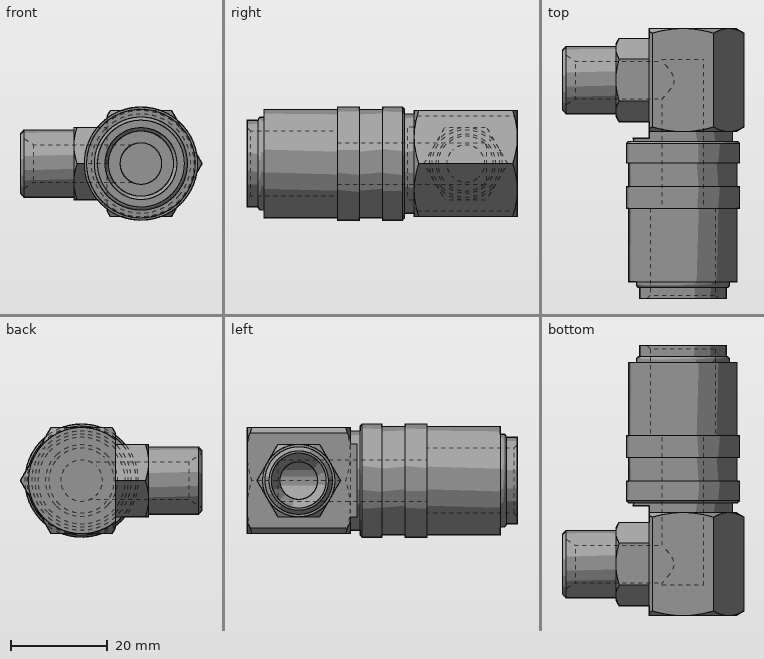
import math

import cadquery as cq


BODY_ACROSS_FLATS = 22.0
BODY_HALF_LENGTH = 10.7
BODY_CUT_X = -7.0
HEX_CHAMFER_ANGLE = 30.0

NECK_RADIUS = 10.3
NECK_FLAT_END_Y = -12.05
NECK_END_Y = -12.7

SLEEVE_RADIUS = 11.25
SLEEVE_END_Y = -41.8
COLLAR_RADIUS = 11.75
COLLAR_CHAMFER = 0.45
REAR_COLLAR_END_Y = -17.2
FRONT_COLLAR_START_Y = -22.05
FRONT_COLLAR_END_Y = -26.6

NOSE_RADIUS = 9.0
NOSE_END_Y = -45.3
SHOULDER_RADIUS = 9.65
SHOULDER_END_Y = -43.0

SOCKET_RADIUS = 6.75
SOCKET_MOUTH_CHAMFER = 0.7
SOCKET_FLOOR_Y = -26.6
ELBOW_BORE_RADIUS = 4.3

SPIGOT_RADIUS = 7.0
SPIGOT_END_X = -25.0
SPIGOT_TIP_CHAMFER_LENGTH = 0.8
SPIGOT_TIP_RADIUS = 6.15
SPIGOT_HEX_ACROSS_FLATS = 15.0
SPIGOT_HEX_START_X = -13.9
SPIGOT_BORE_RADIUS = 3.9
SPIGOT_MOUTH_RADIUS = 5.7
SPIGOT_MOUTH_DEPTH = 2.7


def cylinder_y(radius, start_y, end_y):
    """Cylinder on the Y axis from start_y down to end_y."""
    return cq.Workplane("XZ", origin=(0, start_y, 0)).circle(radius).extrude(start_y - end_y)


def cylinder_x(radius, start_x, end_x):
    """Cylinder on the X axis from start_x up to end_x."""
    return cq.Workplane("YZ", origin=(start_x, 0, 0)).circle(radius).extrude(end_x - start_x)


def cone(start_radius, end_radius, length, start, direction):
    """Truncated cone from a start point along a direction."""
    return cq.Workplane(cq.Solid.makeCone(start_radius, end_radius, length, start, direction))


def chamfered_hexagon(across_flats, length, chamfer_both_ends):
    """Hexagon on +Z from z = 0, a corner on +X, with its corners turned off at the z = 0 end or both."""
    flat_radius = across_flats / 2
    corner_radius = flat_radius / math.cos(math.pi / 6)
    drop = (corner_radius - flat_radius) * math.tan(math.radians(HEX_CHAMFER_ANGLE))
    prism = cq.Workplane("XY").polygon(6, 2 * corner_radius).extrude(length)
    envelope = cq.Workplane("XZ").moveTo(0, 0).lineTo(flat_radius, 0).lineTo(corner_radius, drop)
    if chamfer_both_ends:
        envelope = envelope.lineTo(corner_radius, length - drop).lineTo(flat_radius, length)
    else:
        envelope = envelope.lineTo(corner_radius, length)
    envelope = envelope.lineTo(0, length).close().revolve(360, (0, 0, 0), (0, 1, 0))
    return prism.intersect(envelope)


def make_body():
    """Hexagonal body and neck, cut flat on the spigot side."""
    hexagon = chamfered_hexagon(BODY_ACROSS_FLATS, 2 * BODY_HALF_LENGTH, True)
    hexagon = hexagon.rotate((0, 0, 0), (1, 0, 0), 90).translate((0, BODY_HALF_LENGTH, 0))
    neck = cylinder_y(NECK_RADIUS, 0, NECK_END_Y)
    flat_cut = cq.Workplane("XY").box(
        BODY_ACROSS_FLATS,
        BODY_HALF_LENGTH - NECK_FLAT_END_Y,
        2 * BODY_ACROSS_FLATS,
        centered=(False, False, True),
    )
    flat_cut = flat_cut.translate((BODY_CUT_X - BODY_ACROSS_FLATS, NECK_FLAT_END_Y, 0))
    return hexagon.union(neck).cut(flat_cut)


def make_sleeve():
    """Sleeve, collars, rounded shoulder and nose."""
    rear_collar = cylinder_y(COLLAR_RADIUS, NECK_END_Y, REAR_COLLAR_END_Y)
    rear_collar = rear_collar.faces(">Y").chamfer(COLLAR_CHAMFER)
    front_collar = cylinder_y(COLLAR_RADIUS, FRONT_COLLAR_START_Y, FRONT_COLLAR_END_Y)
    tube = cylinder_y(SLEEVE_RADIUS, REAR_COLLAR_END_Y, SLEEVE_END_Y)
    shoulder = cylinder_y(SHOULDER_RADIUS, SLEEVE_END_Y, SHOULDER_END_Y)
    shoulder = shoulder.faces("<Y").edges().fillet(SHOULDER_RADIUS - NOSE_RADIUS)
    nose = cylinder_y(NOSE_RADIUS, SLEEVE_END_Y, NOSE_END_Y)
    return rear_collar.union(tube).union(front_collar).union(shoulder).union(nose)


def make_spigot():
    """Round spigot with a chamfered tip, and the small hexagon at its root."""
    tube = cylinder_x(SPIGOT_RADIUS, SPIGOT_END_X, BODY_CUT_X)
    tip_reduction = SPIGOT_RADIUS - SPIGOT_TIP_RADIUS
    tube = tube.faces("<X").edges().chamfer(SPIGOT_TIP_CHAMFER_LENGTH, tip_reduction)
    hexagon = chamfered_hexagon(SPIGOT_HEX_ACROSS_FLATS, BODY_CUT_X - SPIGOT_HEX_START_X, False)
    hexagon = hexagon.rotate((0, 0, 0), (0, 0, 1), 90)
    hexagon = hexagon.rotate((0, 0, 0), (0, 1, 0), 90).translate((SPIGOT_HEX_START_X, 0, 0))
    return tube.union(hexagon)


def make_passage():
    """Hollow through the part: sleeve socket, elbow bore and spigot bore."""
    socket = cylinder_y(SOCKET_RADIUS, SOCKET_FLOOR_Y, NOSE_END_Y)
    socket_mouth = cone(
        SOCKET_RADIUS + SOCKET_MOUTH_CHAMFER,
        SOCKET_RADIUS,
        SOCKET_MOUTH_CHAMFER,
        cq.Vector(0, NOSE_END_Y, 0),
        cq.Vector(0, 1, 0),
    )
    elbow_bore = cylinder_y(ELBOW_BORE_RADIUS, ELBOW_BORE_RADIUS, SOCKET_FLOOR_Y)
    spigot_bore = cylinder_x(SPIGOT_BORE_RADIUS, SPIGOT_END_X, 0)
    spigot_mouth = cone(
        SPIGOT_MOUTH_RADIUS,
        SPIGOT_BORE_RADIUS,
        SPIGOT_MOUTH_DEPTH,
        cq.Vector(SPIGOT_END_X, 0, 0),
        cq.Vector(1, 0, 0),
    )
    return socket.union(socket_mouth).union(elbow_bore).union(spigot_bore).union(spigot_mouth)


result = make_body().union(make_sleeve()).union(make_spigot()).cut(make_passage())